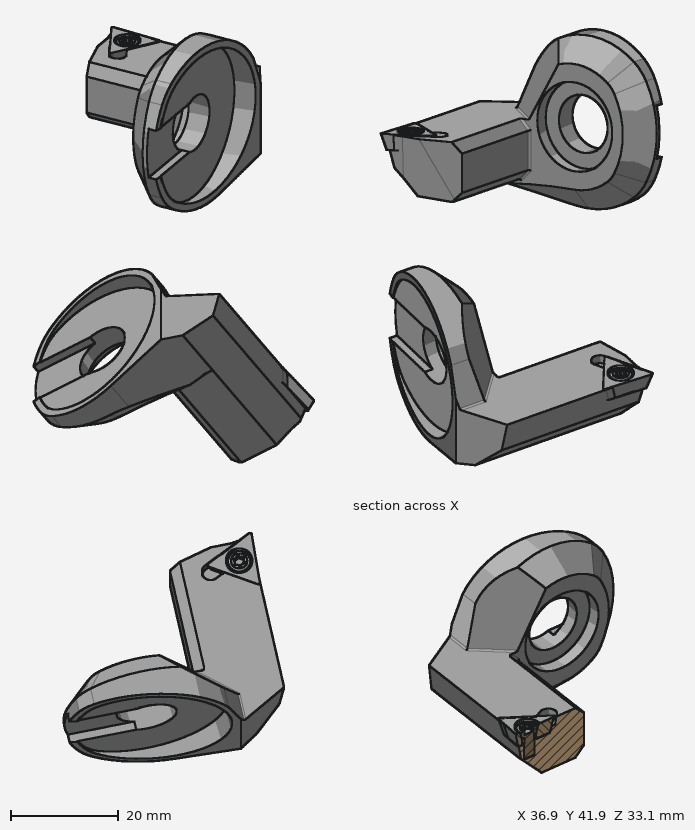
import cadquery as cq
import math

RIM_DIA = 33.05
RIM_RADIUS = RIM_DIA / 2
NOSE_RADIUS = 20.55
NOSE_REACH = 15.4
BLEND_RADIUS = 10.48
BEVEL = 4.53
BEVEL_FLARE = 117.75
BEVEL_REACH = 33.5
BEVEL_TOP_ANGLE = 60.0
TAIL_ANGLE = 15.0
FLANK_TOP_ANGLE = 29.6
FLANK_FOOT_Y = 17.45
BACK_X = 9.3
BACK_TILT = 8.75
FLANGE_STOCK = 16.75

BORE_DIA = 11.0
COUNTERBORE_DIA = 17.0
COUNTERBORE_DEPTH = 2.72
RIM_WALL = 1.45
POCKET_FLOOR_X = 7.12
NOTCH_WIDTH = 10.15
NOTCH_FLOOR_X = 5.45

SHANK_TOP = -0.15
SHANK_BOTTOM = -11.7
SHANK_NEAR_Y = 10.3
SHANK_FAR_Y = 26.0
SHANK_CHAMFER = 2.0
HEEL_Y = 20.15
RELIEF_Y = 25.0
RELIEF_Z = -6.35
TIP_X = -23.8
TIP_LEAN = 9.4
CORNER_Y = 22.3
CORNER_TURN = 8.0
CORNER_LEAN = 10.0
CORNER_ROUND = 0.4
SIDE_CUT_Y = 18.65
SIDE_CUT_ANGLE = 15.0
END_CUT_X = 6.45
END_CUT_ANGLE = 30.0
SHOULDER_ANGLE = 30.0
ROOT_FILLET = 0.4

INSERT_X = -20.0
INSERT_Y = 23.1
INSERT_THICKNESS = 3.2
INSERT_INRADIUS = 3.15
INSERT_NOSE = 0.35
INSERT_TURN = -3.0
INSERT_RELIEF = 10.0
SINK_DIA = 4.9
HEAD_DIA = 4.15
INSERT_HOLE_DIA = 3.3
HEAD_TOP_DIA = 3.0
SCREW_DIA = 2.5
HEAD_TOP_Z = -0.1
HEAD_RIM_Z = -0.3
SEAT_END_Z = -1.93
SCREW_END_Z = -6.7
SOCKET_RADIUS = 0.9
SOCKET_LOBE_RADIUS = 0.2
SOCKET_LOBES = 6
SOCKET_DEPTH = 1.05
RELIEF_SLOT_DIA = 3.3
RELIEF_SLOT_LENGTH = 2.95
RELIEF_SLOT_DRAFT = 4.0
RELIEF_SLOT_DEPTH = 1.9
RELIEF_SLOT_X = -18.95
RELIEF_SLOT_Y = 17.47

BIG = 83.8


def polar(radius, degrees, center_u=0.0, center_v=0.0):
    """Point at an angle around a center, in whichever plane it is used."""
    angle = math.radians(degrees)
    return center_u + radius * math.cos(angle), center_v + radius * math.sin(angle)


def half_space(point, normal):
    """Large block filling the side of a plane that its normal points to."""
    plane = cq.Plane(origin=point, normal=normal)
    return cq.Workplane(plane).rect(BIG, BIG).extrude(BIG)


def add_rim(sketch, inset, end_angle):
    """Continue from the lower rim around the -Y side to end_angle, moved inward by inset."""
    rim = RIM_RADIUS - inset
    nose = NOSE_RADIUS - inset
    blend = BLEND_RADIUS - inset
    nose_y = NOSE_RADIUS - NOSE_REACH
    to_rim = RIM_RADIUS - BLEND_RADIUS
    to_nose = NOSE_RADIUS - BLEND_RADIUS
    blend_y = (to_rim**2 - to_nose**2 + nose_y**2) / (2 * nose_y)
    blend_z = math.sqrt(to_rim**2 - blend_y**2)
    rim_angle = math.degrees(math.atan2(blend_z, blend_y))
    nose_angle = math.degrees(math.atan2(blend_z, blend_y - nose_y))
    blend_angle = (rim_angle + nose_angle) / 2
    return (
        sketch.threePointArc(polar(rim, -(rim_angle + 90) / 2), polar(rim, -rim_angle))
        .threePointArc(polar(blend, -blend_angle, blend_y, -blend_z), polar(nose, -nose_angle, nose_y))
        .threePointArc((-NOSE_REACH + inset, 0), polar(nose, nose_angle, nose_y))
        .threePointArc(polar(blend, blend_angle, blend_y, blend_z), polar(rim, rim_angle))
        .threePointArc(polar(rim, (rim_angle + end_angle) / 2), polar(rim, end_angle))
    )


def flange_blank():
    """Straight-sided flange with its tail running under the shank."""
    start = polar(RIM_RADIUS, -90 + TAIL_ANGLE)
    sketch = cq.Workplane("YZ").moveTo(*start)
    outline = add_rim(sketch, 0, FLANK_TOP_ANGLE)
    return (
        outline.lineTo(FLANK_FOOT_Y, SHANK_TOP)
        .lineTo(SHANK_FAR_Y, SHANK_TOP)
        .lineTo(RELIEF_Y, RELIEF_Z)
        .lineTo(HEEL_Y, SHANK_BOTTOM)
        .close()
        .extrude(FLANGE_STOCK)
    )


def bevel_outline(sketch, inset):
    """Edge of the bevel, open toward +Y where it runs out past the part."""
    rim = RIM_RADIUS - inset
    flare = BEVEL_FLARE + inset
    flare_center_z = -RIM_RADIUS - BEVEL_FLARE

    def flare_point(y):
        return y, flare_center_z + math.sqrt(flare**2 - y**2)

    outline = add_rim(sketch.moveTo(0, -rim), inset, BEVEL_TOP_ANGLE)
    top_z = polar(rim, BEVEL_TOP_ANGLE)[1]
    outline = outline.lineTo(BEVEL_REACH, top_z).lineTo(*flare_point(BEVEL_REACH))
    return outline.threePointArc(flare_point(BEVEL_REACH / 2), (0, -rim)).close()


def bevel_envelope():
    front = bevel_outline(cq.Workplane("YZ"), BEVEL)
    sloped = bevel_outline(front.workplane(offset=BEVEL), 0).loft(ruled=True)
    behind = cq.Workplane("YZ", origin=(BEVEL, 0, 0)).rect(BIG, BIG).extrude(FLANGE_STOCK)
    return sloped.union(behind)


def shoulder_cut():
    """45 degree plane that removes the front of the flange above the shank."""
    across = math.radians(SHOULDER_ANGLE)
    normal = (-1, math.cos(across), math.sin(across))
    above_shank = half_space((0, 0, SHANK_TOP), (0, 0, 1))
    return half_space((0, SHANK_NEAR_Y, 0), normal).intersect(above_shank)


def shank_blank():
    """Shank bar with its end face, slanted side cut and corner facet."""
    near_in = SHANK_NEAR_Y + SHANK_CHAMFER
    bar_start = TIP_X - INSERT_THICKNESS
    bar = (
        cq.Workplane("YZ", origin=(bar_start, 0, 0))
        .polyline([
            (SHANK_FAR_Y, SHANK_TOP),
            (near_in, SHANK_TOP),
            (SHANK_NEAR_Y, SHANK_TOP - SHANK_CHAMFER),
            (SHANK_NEAR_Y, SHANK_BOTTOM + SHANK_CHAMFER),
            (near_in, SHANK_BOTTOM),
            (HEEL_Y, SHANK_BOTTOM),
            (RELIEF_Y, RELIEF_Z),
        ])
        .close()
        .extrude(FLANGE_STOCK - bar_start)
    )
    lean = math.radians(TIP_LEAN)
    slant = math.radians(SIDE_CUT_ANGLE)
    end_cut = half_space((TIP_X, 0, 0), (-math.cos(lean), 0, -math.sin(lean)))
    turn = math.radians(CORNER_TURN)
    corner_normal = (-math.cos(turn), -math.sin(turn), -math.tan(math.radians(CORNER_LEAN)))
    corner_cut = half_space((TIP_X, CORNER_Y, 0), corner_normal)
    bar = bar.cut(end_cut.intersect(corner_cut))
    tip_edge = cq.selectors.NearestToPointSelector((TIP_X, SHANK_FAR_Y, RELIEF_Z / 2))
    bar = bar.edges(tip_edge).fillet(CORNER_ROUND)
    return bar.cut(half_space((TIP_X, SIDE_CUT_Y, 0), (-math.cos(slant), -math.sin(slant), 0)))


def flange_recesses():
    bore = cq.Workplane("YZ").circle(BORE_DIA / 2).extrude(FLANGE_STOCK)
    counterbore = cq.Workplane("YZ").circle(COUNTERBORE_DIA / 2).extrude(COUNTERBORE_DEPTH)
    sketch = cq.Workplane("YZ", origin=(POCKET_FLOOR_X, 0, 0))
    sketch = sketch.moveTo(0, RIM_WALL - RIM_RADIUS)
    pocket = add_rim(sketch, RIM_WALL, 90)
    pocket = pocket.threePointArc((RIM_RADIUS - RIM_WALL, 0), (0, RIM_WALL - RIM_RADIUS))
    pocket = pocket.close().extrude(FLANGE_STOCK)
    notch = cq.Workplane("XY").box(FLANGE_STOCK, NOSE_RADIUS, NOTCH_WIDTH, centered=(False, False, True))
    notch = notch.translate((NOTCH_FLOOR_X, -NOSE_RADIUS, 0))
    return bore.union(counterbore).union(pocket).union(notch)


def insert_blank():
    """Triangular insert without its hole, tapering downward from Z = 0."""
    blank = (
        cq.Workplane("XY")
        .polygon(3, 4 * INSERT_INRADIUS)
        .extrude(-INSERT_THICKNESS, taper=INSERT_RELIEF)
        .edges("not #Z")
        .fillet(INSERT_NOSE)
    )
    vertex_angle = 30 + INSERT_TURN
    return blank.rotate((0, 0, 0), (0, 0, 1), vertex_angle).translate((INSERT_X, INSERT_Y, 0))


def turned(profile):
    """Revolve (radius, z) points about the screw axis."""
    solid = cq.Workplane("XZ").polyline(profile).close().revolve(360, (0, 0, 0), (0, 1, 0))
    return solid.translate((INSERT_X, INSERT_Y, 0))


def make_insert():
    hole = turned([
        (0, 0),
        (SINK_DIA / 2, 0),
        (HEAD_DIA / 2, HEAD_RIM_Z),
        (INSERT_HOLE_DIA / 2, SEAT_END_Z),
        (INSERT_HOLE_DIA / 2, -INSERT_THICKNESS),
        (0, -INSERT_THICKNESS),
    ])
    return insert_blank().cut(hole)


def make_screw():
    body = turned([
        (0, HEAD_TOP_Z),
        (HEAD_TOP_DIA / 2, HEAD_TOP_Z),
        (HEAD_DIA / 2, HEAD_RIM_Z),
        (INSERT_HOLE_DIA / 2, SEAT_END_Z),
        (SCREW_DIA / 2, SEAT_END_Z),
        (SCREW_DIA / 2, SCREW_END_Z),
        (0, SCREW_END_Z),
    ])
    top = cq.Workplane("XY", origin=(INSERT_X, INSERT_Y, HEAD_TOP_Z))
    socket = top.circle(SOCKET_RADIUS).extrude(-SOCKET_DEPTH)
    centers = top.polarArray(SOCKET_RADIUS, 0, 360, SOCKET_LOBES)
    lobes = centers.circle(SOCKET_LOBE_RADIUS).extrude(-SOCKET_DEPTH)
    return body.cut(socket).cut(lobes)


def relief_slot():
    """Round-ended clearance beside the inner corner of the insert."""
    run_angle = 120 + INSERT_TURN
    dx, dy = polar(RELIEF_SLOT_LENGTH / 2, run_angle)
    slot = cq.Workplane("XY").slot2D(RELIEF_SLOT_LENGTH + RELIEF_SLOT_DIA, RELIEF_SLOT_DIA, run_angle)
    slot = slot.extrude(-RELIEF_SLOT_DEPTH, taper=RELIEF_SLOT_DRAFT)
    return slot.translate((RELIEF_SLOT_X + dx, RELIEF_SLOT_Y + dy, 0))


def fillet_root(body):
    """Round the inner corner where the shank meets the flange."""
    middle_y = SHANK_NEAR_Y + SHANK_CHAMFER / 2
    middle_z = (SHANK_TOP + SHANK_BOTTOM) / 2
    shoulder_y = (SHANK_NEAR_Y + FLANK_FOOT_Y) / 2
    shoulder_x = (shoulder_y - SHANK_NEAR_Y) * math.cos(math.radians(SHOULDER_ANGLE))
    corners = [
        (0, SHANK_NEAR_Y, middle_z),
        (0, middle_y, SHANK_TOP - SHANK_CHAMFER / 2),
        (0, middle_y, SHANK_BOTTOM + SHANK_CHAMFER / 2),
        (0, (SHANK_NEAR_Y + HEEL_Y) / 2, SHANK_BOTTOM),
        (shoulder_x, shoulder_y, SHANK_TOP),
        (FLANGE_STOCK / 2, FLANK_FOOT_Y, SHANK_TOP),
    ]
    edges = [body.edges(cq.selectors.NearestToPointSelector(p)).val() for p in corners]
    return body.newObject(edges).fillet(ROOT_FILLET)


def make_holder():
    flange = flange_blank().intersect(bevel_envelope()).cut(shoulder_cut())
    holder = flange.union(shank_blank())
    holder = fillet_root(holder)
    tilt = math.radians(BACK_TILT)
    holder = holder.cut(half_space((BACK_X, 0, 0), (math.cos(tilt), -math.sin(tilt), 0)))
    rear = math.radians(END_CUT_ANGLE)
    holder = holder.cut(half_space((END_CUT_X, SHANK_FAR_Y, 0), (math.cos(rear), math.sin(rear), 0)))
    holder = holder.cut(flange_recesses())
    screw_hole = turned([(0, 0), (SCREW_DIA / 2, 0), (SCREW_DIA / 2, SCREW_END_Z), (0, SCREW_END_Z)])
    return holder.cut(insert_blank()).cut(relief_slot()).cut(screw_hole)


holder = make_holder()
insert = make_insert()
screw = make_screw()

result = cq.Compound.makeCompound([holder.val(), insert.val(), screw.val()])